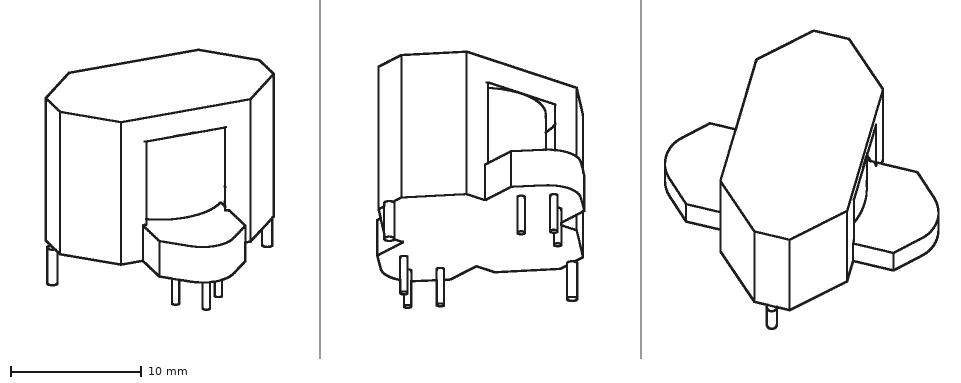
import cadquery as cq

core_width = 10.06
core_depth = 17.86
core_height = 12.0
end_face_width = 2.8
side_face_depth = 10.82

chamber_radius = 6.01
wall_thickness = 2.0
winding_radius = 5.0

base_length = 21.55
base_width = 7.2
base_height = 3.0
nose_radius = 2.55

pin_length = 3.0
pin_diameter = 0.58
pin_pitch = 1.79
inner_pin_x = 7.2
clip_pin_diameter = 0.8
clip_pin_span = 18.77
clip_pin_y = (clip_pin_span - clip_pin_diameter) / 2


def make_core():
    """Bevelled block with the winding chamber hollowed out between roof and floor."""
    x_side = core_width / 2
    x_end = end_face_width / 2
    y_side = side_face_depth / 2
    y_end = core_depth / 2
    outline = [
        (-x_side, -y_side),
        (-x_end, -y_end),
        (x_end, -y_end),
        (x_side, -y_side),
        (x_side, y_side),
        (x_end, y_end),
        (-x_end, y_end),
        (-x_side, y_side),
    ]
    block = cq.Workplane("XY").polyline(outline).close().extrude(core_height)
    chamber_height = core_height - 2 * wall_thickness
    chamber = cq.Workplane("XY").workplane(offset=wall_thickness).circle(chamber_radius).extrude(chamber_height)
    return block.cut(chamber)


def make_winding():
    """Solid round winding from the underside up to the chamber roof."""
    return cq.Workplane("XY").circle(winding_radius).extrude(core_height - wall_thickness)


def make_base():
    """Bar whose ends narrow at 45 degrees into a tangent round nose."""
    half_width = base_width / 2
    nose_center_x = base_length / 2 - nose_radius
    tangent_offset = nose_radius / 2**0.5
    tangent_x = nose_center_x + tangent_offset
    shoulder_x = tangent_x - (half_width - tangent_offset)
    return (
        cq.Workplane("XY")
        .moveTo(-shoulder_x, -half_width)
        .lineTo(shoulder_x, -half_width)
        .lineTo(tangent_x, -tangent_offset)
        .threePointArc((base_length / 2, 0), (tangent_x, tangent_offset))
        .lineTo(shoulder_x, half_width)
        .lineTo(-shoulder_x, half_width)
        .lineTo(-tangent_x, tangent_offset)
        .threePointArc((-base_length / 2, 0), (-tangent_x, -tangent_offset))
        .close()
        .extrude(base_height)
    )


def make_pins(points, diameter):
    """Round pins hanging from z = 0 at the given points."""
    return cq.Workplane("XY").pushPoints(points).circle(diameter / 2).extrude(-pin_length)


bobbin_pins = []
for side in (-1, 1):
    bobbin_pins.append((side * (inner_pin_x + pin_pitch), 0))
    for row in (-1, 1):
        bobbin_pins.append((side * inner_pin_x, row * pin_pitch))

clip_pins = [(0, -clip_pin_y), (0, clip_pin_y)]

result = (
    make_core()
    .union(make_winding())
    .union(make_base())
    .union(make_pins(bobbin_pins, pin_diameter))
    .union(make_pins(clip_pins, clip_pin_diameter))
)